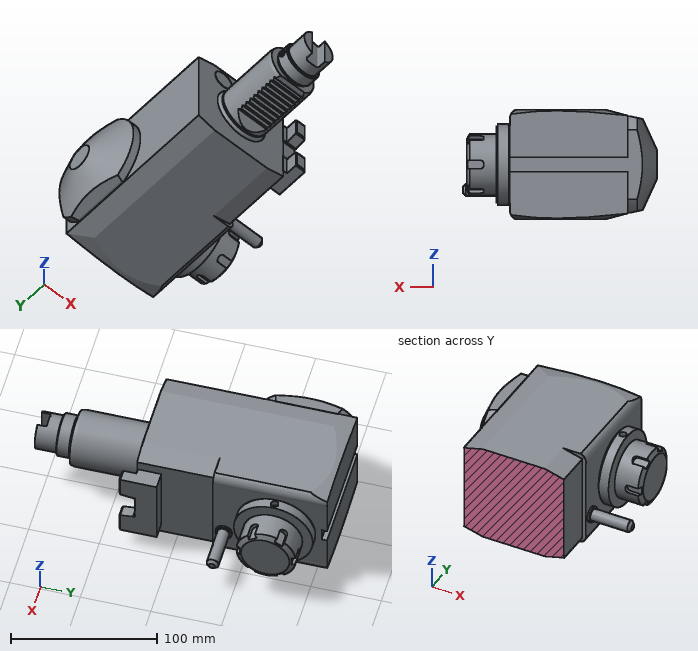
import cadquery as cq
import math


HEIGHT = 75.0
HALF_HEIGHT = HEIGHT / 2
BODY_LENGTH = 135.5
BODY_LEFT = -39.0
BODY_RIGHT = 41.7
SEAT_RIGHT = 39.0
SEAT_LENGTH = 54.6
EDGE_HALF_HEIGHT = 33.5
LEFT_SLOPE_END = -24.0
SEAT_SLOPE_START = 24.0
ROUND_START = 37.6
ROUND_MIDDLE = (40.5, 35.5)
ROUND_END_HEIGHT = 30.5
CREST_X = 11.8
CREST_HEIGHT = 36.8
REAR_SHOULDER_HEIGHT = 35.0
REAR_RIGHT_HEIGHT = 34.5
REAR_SLOPE = 0.2
REAR_SLOT_WIDTH = 9.7
REAR_SLOT_DEPTH = 3.9
PLUG_CENTER = (-16.0, 28.0)
PLUG_RADIUS = 7.5
PLUG_RECESS = 0.2

COLLAR_RADIUS = 21.5
COLLAR_LENGTH = 2.5
COLLAR_FILLET = 2.2
RELIEF_RADIUS = 19.5
RELIEF_END = 3.9
SHANK_RADIUS = 20.0
SHANK_END = 53.0
SHANK_CHAMFER = (0.6, 2.5)
RACK_DEPTH = 15.0
RACK_RUNOUT_START = 3.2
RACK_START = 12.0
TOOTH_PITCH = 4.0
TOOTH_COUNT = 9
TOOTH_HEIGHT = 1.0
NECK_RADIUS = 14.0
DRIVE_COLLAR_RADIUS = 15.0
DRIVE_COLLAR_START = 54.2
DRIVE_COLLAR_END = 64.0
DRIVE_COLLAR_CHAMFER = 0.6
TANG_RADIUS = 13.1
TANG_END = 79.5
TANG_SLOT_WIDTH = 11.5
TANG_SLOT_DEPTH = 6.7
TANG_SLOT_FILLET = 1.0
SCREW_RADIUS = 2.8
SCREW_DEPTH = 1.0
SOCKET_RADIUS = 1.7
SOCKET_DEPTH = 2.5

SPINDLE_Y = 99.5
BOSS_RADIUS = 26.9
FLANGE_START = 42.5
FLANGE_END = 50.0
FLANGE_RADIUS = 28.0
FLANGE_HOLE_RADIUS = 2.5
FLANGE_HOLE_DEPTH = 4.3
DRILL_POINT_ANGLE = 118
SPINDLE_RADIUS = 16.3
NUT_START = 51.2
NUT_END = 71.4
NUT_RADIUS = 21.0
NUT_CHAMFER = (2.2, 3.9)
NUT_SLOT_COUNT = 6
NUT_SLOT_WIDTH = 6.0
NUT_SLOT_FILLET = 2.5
NUT_SLOT_LENGTH = 11.8
NUT_SLOT_DEPTH = 2.8

COVER_RADIUS = 40.0
COVER_RIM = -45.4
COVER_TIP = -59.1
COVER_TIP_RADIUS = 9.9
COVER_STRAIGHT_END = -40.6
COVER_FLAT_HEIGHT = 33.1
COVER_FLAT_SLOPE = 0.22

PIN_Y = 62.4
PIN_Z = -17.5
PIN_RADIUS = 4.3
PIN_END = 74.0
PIN_CHAMFER = 2.2
PIN_COLLAR_RADIUS = 5.8
PIN_COLLAR_LENGTH = 1.5

KEY_RIGHT = 51.2
KEY_REAR = 17.2
KEY_HALF_WIDTH = 26.2
KEY_GAP_HALF_WIDTH = 9.5
KEY_GAP_RECESS = 1.7
SHOULDER_RECESS = 0.5
LEG_LEFT = 42.8
LEG_LENGTH = 9.5
LEG_FLARE = 1.5
LEG_CHAMFER = 0.9

OVERLAP = 2.2


def x_cylinder(start, end, radius, y=SPINDLE_Y, z=0.0):
    return cq.Workplane("YZ", origin=(start, y, z)).circle(radius).extrude(end - start)


def y_cylinder(start, end, radius):
    """Cylinder on the shank axis between two distances in front of the housing."""
    return cq.Workplane("XZ", origin=(0, -start, 0)).circle(radius).extrude(end - start)


def box(x_range, y_range, z_range):
    corner = (x_range[0], y_range[0], z_range[0])
    size = (x_range[1] - x_range[0], y_range[1] - y_range[0], z_range[1] - z_range[0])
    return cq.Workplane("XY").box(*size, centered=False).translate(corner)


def both_sides(shape):
    """The shape together with its mirror image below Z = 0."""
    return shape.union(shape.mirror("XY"))


def upper_outline(origin_y):
    """Start of the housing section, from the axis up the left side to the top."""
    return (
        cq.Workplane("XZ", origin=(0, origin_y, 0))
        .moveTo(BODY_LEFT, 0)
        .lineTo(BODY_LEFT, EDGE_HALF_HEIGHT)
        .lineTo(LEFT_SLOPE_END, HALF_HEIGHT)
    )


def rear_edge_cutter():
    """Removes the material above the curved, sloping surface at the rear of the top."""
    def section(y, rise):
        shoulder = (LEFT_SLOPE_END, REAR_SHOULDER_HEIGHT + rise)
        crest = (CREST_X, CREST_HEIGHT + rise)
        right_end = (BODY_RIGHT, REAR_RIGHT_HEIGHT + rise)
        roof = HEIGHT
        return (
            cq.Workplane("XZ", origin=(0, y, 0))
            .moveTo(BODY_LEFT, EDGE_HALF_HEIGHT + rise)
            .spline([shoulder, crest, right_end], includeCurrent=True)
            .lineTo(BODY_RIGHT, roof)
            .lineTo(BODY_LEFT, roof)
            .close()
            .wires()
            .val()
        )

    reach = (HALF_HEIGHT - EDGE_HALF_HEIGHT) / REAR_SLOPE
    front = section(BODY_LENGTH - reach, reach * REAR_SLOPE)
    rear = section(BODY_LENGTH, 0)
    return cq.Workplane(cq.Solid.makeLoft([front, rear], True))


def housing():
    seat_half = (
        upper_outline(SEAT_LENGTH)
        .lineTo(SEAT_SLOPE_START, HALF_HEIGHT)
        .lineTo(SEAT_RIGHT, EDGE_HALF_HEIGHT)
        .lineTo(SEAT_RIGHT, 0)
        .close()
        .extrude(SEAT_LENGTH)
    )
    rear_half = (
        upper_outline(BODY_LENGTH)
        .lineTo(ROUND_START, HALF_HEIGHT)
        .threePointArc(ROUND_MIDDLE, (BODY_RIGHT, ROUND_END_HEIGHT))
        .lineTo(BODY_RIGHT, 0)
        .close()
        .extrude(BODY_LENGTH - SEAT_LENGTH)
        .cut(rear_edge_cutter())
    )
    plug = cq.Workplane("XZ").center(*PLUG_CENTER).circle(PLUG_RADIUS).extrude(-PLUG_RECESS)
    return both_sides(seat_half.union(rear_half)).cut(plug)


def cover():
    """Shallow cone trimmed flat at the rear and by sloped flats above and below."""
    cone = (
        cq.Workplane("XY", origin=(0, SPINDLE_Y, 0))
        .moveTo(BODY_LEFT + OVERLAP, 0)
        .lineTo(BODY_LEFT + OVERLAP, COVER_RADIUS)
        .lineTo(COVER_RIM, COVER_RADIUS)
        .lineTo(COVER_TIP, COVER_TIP_RADIUS)
        .lineTo(COVER_TIP, 0)
        .close()
        .revolve(360, (0, 0, 0), (1, 0, 0))
    )
    tip_height = COVER_FLAT_HEIGHT - COVER_FLAT_SLOPE * (COVER_STRAIGHT_END - COVER_TIP)
    envelope = (
        cq.Workplane("XZ", origin=(0, BODY_LENGTH - REAR_SLOT_DEPTH, 0))
        .moveTo(BODY_LEFT + OVERLAP, 0)
        .lineTo(BODY_LEFT + OVERLAP, COVER_FLAT_HEIGHT)
        .lineTo(COVER_STRAIGHT_END, COVER_FLAT_HEIGHT)
        .lineTo(COVER_TIP, tip_height)
        .lineTo(COVER_TIP, 0)
        .close()
        .extrude(2 * COVER_RADIUS)
    )
    return cone.intersect(both_sides(envelope))


def rack_cutter():
    """Space below the toothed flat of the shank, with a sloped run-out at the collar."""
    profile = (
        cq.Workplane("YZ")
        .moveTo(-RACK_RUNOUT_START, -COLLAR_RADIUS)
        .lineTo(-RACK_START, -RACK_DEPTH)
    )
    for index in range(TOOTH_COUNT):
        groove_start = RACK_START + index * TOOTH_PITCH
        profile = (
            profile
            .lineTo(-(groove_start + TOOTH_PITCH / 2), -RACK_DEPTH - TOOTH_HEIGHT)
            .lineTo(-(groove_start + TOOTH_PITCH), -RACK_DEPTH)
        )
    rack_end = RACK_START + TOOTH_COUNT * TOOTH_PITCH
    return (
        profile
        .lineTo(-rack_end, -RACK_DEPTH - TOOTH_HEIGHT)
        .lineTo(-SHANK_END, -RACK_DEPTH - TOOTH_HEIGHT)
        .lineTo(-SHANK_END, -COLLAR_RADIUS)
        .close()
        .extrude(COLLAR_RADIUS, both=True)
    )


def shank():
    chamfer_radial, chamfer_axial = SHANK_CHAMFER
    body = (
        y_cylinder(RELIEF_END, SHANK_END, SHANK_RADIUS)
        .faces("<Y")
        .chamfer(chamfer_axial, chamfer_radial)
        .union(y_cylinder(0, RELIEF_END + OVERLAP, RELIEF_RADIUS))
        .cut(rack_cutter())
    )
    collar = y_cylinder(-OVERLAP, COLLAR_LENGTH, COLLAR_RADIUS).faces("<Y").edges().fillet(COLLAR_FILLET)
    return body.union(collar)


def drive_tang():
    collar = (
        y_cylinder(DRIVE_COLLAR_START, DRIVE_COLLAR_END, DRIVE_COLLAR_RADIUS)
        .faces("<Y or >Y")
        .chamfer(DRIVE_COLLAR_CHAMFER)
    )
    tang = (
        y_cylinder(SHANK_END - OVERLAP, DRIVE_COLLAR_START + OVERLAP, NECK_RADIUS)
        .union(collar)
        .union(y_cylinder(DRIVE_COLLAR_END - OVERLAP, TANG_END, TANG_RADIUS))
    )
    slot = box(
        (-TANG_SLOT_WIDTH / 2, TANG_SLOT_WIDTH / 2),
        (-TANG_END, -TANG_END + TANG_SLOT_DEPTH),
        (-TANG_RADIUS, TANG_RADIUS),
    ).faces(">Y").edges("|Z").fillet(TANG_SLOT_FILLET)
    screw_y = -(DRIVE_COLLAR_START + DRIVE_COLLAR_END) / 2
    surface = -DRIVE_COLLAR_RADIUS
    screw = x_cylinder(surface, surface + SCREW_DEPTH, SCREW_RADIUS, screw_y)
    socket = x_cylinder(surface, surface + SOCKET_DEPTH, SOCKET_RADIUS, screw_y)
    return tang.cut(slot).cut(screw).cut(socket)


def spindle():
    boss = x_cylinder(BODY_RIGHT - OVERLAP, FLANGE_START + OVERLAP, BOSS_RADIUS)
    point_depth = FLANGE_HOLE_RADIUS / math.tan(math.radians(DRILL_POINT_ANGLE / 2))
    hole = (
        cq.Workplane("XZ", origin=((FLANGE_START + FLANGE_END) / 2, SPINDLE_Y, FLANGE_RADIUS))
        .lineTo(FLANGE_HOLE_RADIUS, 0)
        .lineTo(FLANGE_HOLE_RADIUS, -FLANGE_HOLE_DEPTH)
        .lineTo(0, -FLANGE_HOLE_DEPTH - point_depth)
        .close()
        .revolve(360, (0, 0, 0), (0, 1, 0))
    )
    flange = x_cylinder(FLANGE_START, FLANGE_END, FLANGE_RADIUS).union(boss).cut(hole)
    neck = x_cylinder(FLANGE_END - OVERLAP, NUT_START + OVERLAP, SPINDLE_RADIUS)
    return flange.union(neck).union(clamping_nut())


def clamping_nut():
    chamfer_axial, chamfer_radial = NUT_CHAMFER
    nut = x_cylinder(NUT_START, NUT_END, NUT_RADIUS).faces(">X").chamfer(chamfer_axial, chamfer_radial)
    slot_start = NUT_END - NUT_SLOT_LENGTH
    slot = box(
        (slot_start, NUT_END),
        (SPINDLE_Y - NUT_SLOT_WIDTH / 2, SPINDLE_Y + NUT_SLOT_WIDTH / 2),
        (NUT_RADIUS - NUT_SLOT_DEPTH, NUT_RADIUS),
    ).faces("<X").edges("|Z").fillet(NUT_SLOT_FILLET)
    step = 360 / NUT_SLOT_COUNT
    axis_start = (0, SPINDLE_Y, 0)
    axis_end = (1, SPINDLE_Y, 0)
    for index in range(NUT_SLOT_COUNT):
        nut = nut.cut(slot.rotate(axis_start, axis_end, (index + 0.5) * step))
    return nut


def locating_pin():
    pin = (
        x_cylinder(BODY_RIGHT - OVERLAP, PIN_END, PIN_RADIUS, PIN_Y, PIN_Z)
        .faces(">X")
        .chamfer(PIN_CHAMFER)
    )
    collar_end = BODY_RIGHT + PIN_COLLAR_LENGTH
    return pin.union(x_cylinder(BODY_RIGHT - OVERLAP, collar_end, PIN_COLLAR_RADIUS, PIN_Y, PIN_Z))


def forked_key():
    bridge = box(
        (SEAT_RIGHT - OVERLAP, KEY_RIGHT),
        (KEY_GAP_RECESS, KEY_REAR),
        (-KEY_HALF_WIDTH, KEY_HALF_WIDTH),
    )
    shoulder = box(
        (SEAT_RIGHT - OVERLAP, KEY_RIGHT),
        (SHOULDER_RECESS, KEY_REAR),
        (KEY_GAP_HALF_WIDTH, KEY_HALF_WIDTH),
    )
    leg = (
        cq.Workplane("YZ", origin=(LEG_LEFT, 0, 0))
        .moveTo(KEY_GAP_RECESS, KEY_HALF_WIDTH)
        .lineTo(KEY_GAP_RECESS, KEY_GAP_HALF_WIDTH)
        .lineTo(-LEG_LENGTH, KEY_GAP_HALF_WIDTH + LEG_FLARE)
        .lineTo(-LEG_LENGTH, KEY_HALF_WIDTH)
        .close()
        .extrude(KEY_RIGHT - LEG_LEFT)
        .faces("<Y")
        .chamfer(LEG_CHAMFER)
    )
    return bridge.union(both_sides(shoulder.union(leg)))


def rear_slot():
    """Slot across the rear face, open on both sides."""
    return box(
        (BODY_LEFT, BODY_RIGHT),
        (BODY_LENGTH - REAR_SLOT_DEPTH, BODY_LENGTH),
        (-REAR_SLOT_WIDTH / 2, REAR_SLOT_WIDTH / 2),
    )


result = housing().cut(rear_slot())
for piece in (cover(), shank(), drive_tang(), spindle(), locating_pin(), forked_key()):
    result = result.union(piece)